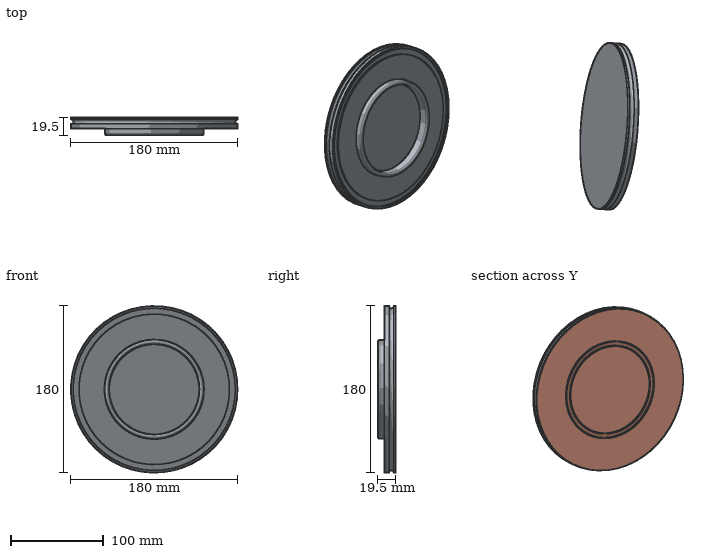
import cadquery as cq
disc_diameter = 180.0
disc_thickness = 12.2
overall_depth = 19.5
front_face = -disc_thickness

groove_bottom_diameter = 175.0
groove_width = 4.9
groove_back_edge = -2.3

recess_outer_diameter = 175.0
recess_inner_diameter = 162.4
recess_depth = 1.6

collar_outer_diameter = 107.0
collar_bore_diameter = 97.7
seat_clearance = 0.4
seat_outer_diameter = collar_outer_diameter + 2 * seat_clearance
floor_diameter = collar_bore_diameter - 2 * seat_clearance
floor_depth = 3.0
seat_depth = 5.4
collar_wall = (collar_outer_diameter - collar_bore_diameter) / 2
collar_height = overall_depth - disc_thickness + seat_depth


def cylinder(diameter, front, length):
    """Solid cylinder along Y, from the front plane towards +Y."""
    return cq.Workplane("XZ", origin=(0, front, 0)).circle(diameter / 2).extrude(-length)


def ring(outer_diameter, inner_diameter, front, length):
    """Plain ring along Y, from the front plane towards +Y."""
    return cylinder(outer_diameter, front, length).cut(cylinder(inner_diameter, front, length))


def make_groove():
    """Ring of material removed by the belt groove, an arc in section."""
    edge_radius = disc_diameter / 2
    front_edge = groove_back_edge - groove_width
    middle = groove_back_edge - groove_width / 2
    return (
        cq.Workplane("XY")
        .moveTo(edge_radius, groove_back_edge)
        .threePointArc((groove_bottom_diameter / 2, middle), (edge_radius, front_edge))
        .close()
        .revolve(360, (0, 0, 0), (0, 1, 0))
    )


def make_disc():
    """Disc with its belt groove, front recess, sunken floor and collar seat."""
    disc = cylinder(disc_diameter, front_face, disc_thickness)
    recess = ring(recess_outer_diameter, recess_inner_diameter, front_face, recess_depth)
    floor = cylinder(floor_diameter, front_face, floor_depth)
    seat = ring(seat_outer_diameter, floor_diameter, front_face, seat_depth)
    return disc.cut(make_groove()).cut(recess).cut(floor).cut(seat)


def make_collar():
    """Ring with a half-round front edge, standing on the bottom of its seat."""
    inner_radius = collar_bore_diameter / 2
    outer_radius = collar_outer_diameter / 2
    front = -overall_depth
    back = front + collar_height
    round_start = front + collar_wall / 2
    return (
        cq.Workplane("XY")
        .moveTo(inner_radius, back)
        .lineTo(inner_radius, round_start)
        .threePointArc((inner_radius + collar_wall / 2, front), (outer_radius, round_start))
        .lineTo(outer_radius, back)
        .close()
        .revolve(360, (0, 0, 0), (0, 1, 0))
    )


disc = make_disc()
collar = make_collar()
result = cq.Compound.makeCompound([disc.val(), collar.val()])